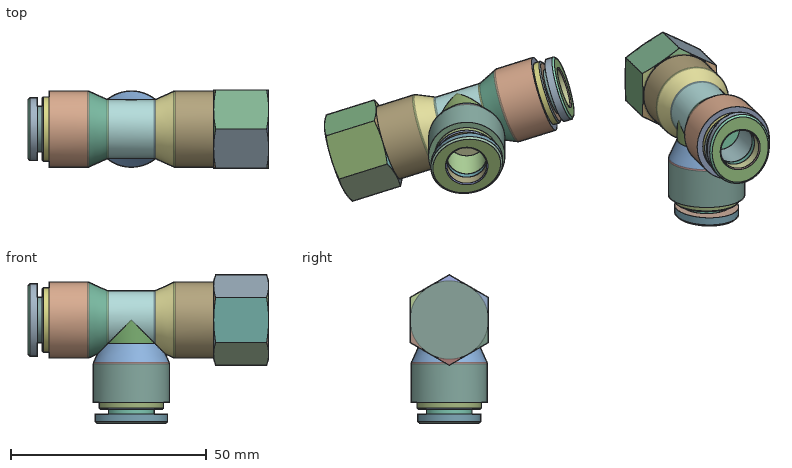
import cadquery as cq
import math


socket_dia = 19.5
neck_dia = 15.0
neck_end = 6.0
cone_end = 11.0
socket_end = 21.0
blend_radius = 1.0
tube_hole_dia = 10.2
tube_hole_depth = socket_end - cone_end

collar_dia = 16.5
collar_hole_dia = 10.15
collar_end = 22.8
collar_chamfer = 0.35

button_sleeve_dia = 11.7
button_end = 26.4
flange_length = 2.4
flange_long_dia = 18.55
flange_short_dia = 16.1
flange_chamfer = 0.5
button_mouth_chamfer = 0.3

nut_across_flats = 20.0
nut_length = 14.0
nut_chamfer_length = 0.5

BRANCH_ANGLE = -90
PICK_MARGIN = 0.01


def revolve_about_x(points):
    """Turn an (x, radius) outline one full turn about the X axis."""
    return cq.Workplane("XY").polyline(points).close().revolve(360, (0, 0, 0), (1, 0, 0))


def rod(diameter, x_start, x_end):
    """Cylinder on the X axis between two X positions."""
    return cq.Workplane("YZ").workplane(offset=x_start).circle(diameter / 2).extrude(x_end - x_start)


def circle_at(x, diameter):
    """Selector for the circular edge of the given diameter at the given X position."""
    half = diameter / 2 + PICK_MARGIN
    low_corner = (x - PICK_MARGIN, -half, -half)
    high_corner = (x + PICK_MARGIN, half, half)
    return cq.selectors.BoxSelector(low_corner, high_corner, boundingbox=True)


def turn_to_branch(part):
    """Move a part of the left arm onto the branch."""
    return part.rotate((0, 0, 0), (0, 1, 0), BRANCH_ANGLE)


def make_arm():
    """One arm of the tee along -X: neck, cone and socket, without the tube hole."""
    arm = revolve_about_x([
        (0, 0),
        (0, neck_dia / 2),
        (-neck_end, neck_dia / 2),
        (-cone_end, socket_dia / 2),
        (-socket_end, socket_dia / 2),
        (-socket_end, 0),
    ])
    return arm.edges(circle_at(-cone_end, socket_dia)).fillet(blend_radius)


def make_tee_body():
    """Tee with two open tube sockets and a plain end that carries the nut."""
    branch_arm = make_arm()
    left_arm = branch_arm.edges(circle_at(-neck_end, neck_dia)).fillet(blend_radius)
    right_arm = left_arm.mirror("YZ")
    tube_hole = rod(tube_hole_dia, -socket_end, -socket_end + tube_hole_depth)
    body = left_arm.union(right_arm).union(turn_to_branch(branch_arm))
    return body.cut(tube_hole).cut(turn_to_branch(tube_hole))


def make_collar():
    """Ring on the left socket face, chamfered at its outer end."""
    ring = rod(collar_dia, -collar_end, -socket_end)
    ring = ring.faces("<X").edges().chamfer(collar_chamfer)
    return ring.cut(rod(collar_hole_dia, -collar_end, -socket_end))


def make_button():
    """Release button of the left socket, its oval flange longest along Z."""
    flange = (
        cq.Workplane("YZ").workplane(offset=-button_end)
        .ellipse(flange_short_dia / 2, flange_long_dia / 2)
        .extrude(flange_length)
        .faces("<X").edges().chamfer(flange_chamfer)
    )
    sleeve = rod(button_sleeve_dia, -button_end + flange_length, -collar_end)
    bore = rod(tube_hole_dia, -button_end, -collar_end)
    button = flange.union(sleeve).cut(bore)
    return button.edges(circle_at(-button_end, tube_hole_dia)).chamfer(button_mouth_chamfer)


def make_nut():
    """Hexagonal nut on the right end, corners up and down, both ends trimmed by a cone."""
    across_corners = nut_across_flats / math.cos(math.radians(30))
    nut_end = socket_end + nut_length
    hexagon = (
        cq.Workplane("YZ").workplane(offset=socket_end)
        .transformed(rotate=(0, 0, 90))
        .polygon(6, across_corners)
        .extrude(nut_length)
    )
    trimming_form = revolve_about_x([
        (socket_end, 0),
        (socket_end, nut_across_flats / 2),
        (socket_end + nut_chamfer_length, across_corners / 2),
        (nut_end - nut_chamfer_length, across_corners / 2),
        (nut_end, nut_across_flats / 2),
        (nut_end, 0),
    ])
    return hexagon.intersect(trimming_form)


tee_body = make_tee_body()
nut = make_nut()

port_parts = []
for make_port_part in (make_collar, make_button):
    port_part = make_port_part()
    port_parts.append(port_part.val())
    port_parts.append(turn_to_branch(port_part).val())

result = cq.Compound.makeCompound([tee_body.val(), nut.val(), *port_parts])